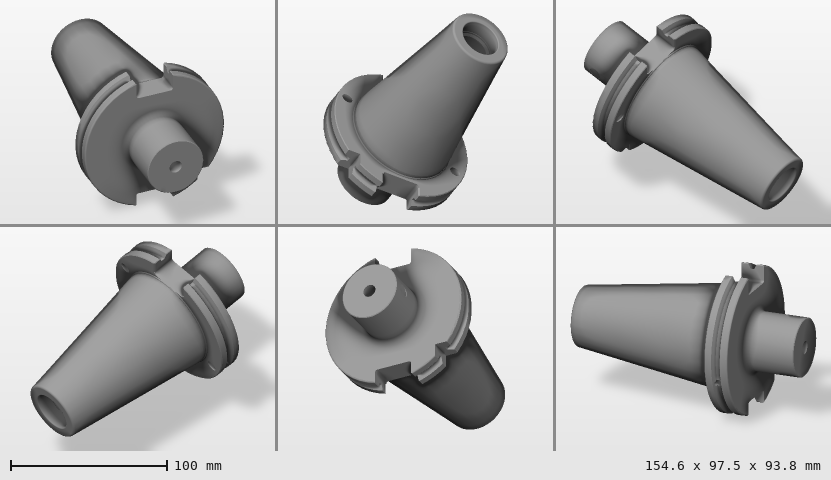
import cadquery as cq
import math


gauge_radius = 69.85 / 2
taper_ratio = 7 / 48
shank_length = 101.75
shank_end_radius = gauge_radius - shank_length * taper_ratio
shank_end_round = 1.5

flange_radius = 97.5 / 2
flange_back = 3.2
flange_front = 19.1
flange_root_round = 0.8
back_rim_chamfer = 0.5
front_rim_round = 1.0
groove_middle = 11.05
groove_floor_radius = 45.4
groove_floor_width = 2.4
groove_mouth_width = 6.0

overall_length = 154.6
nose_end = overall_length - shank_length
nose_radius = 19.5
nose_root_round = 3.5
nose_end_chamfer = 0.5

bore_radius = 12.95
bore_mouth_round = 0.7
bore_depth = 10.3
relief_radius = 12.5
relief_depth = 11.4
thread_lead_in_half_angle = 60
thread_radius = 10.75
thread_depth = 45.0
drill_half_angle = 59
coolant_radius = 4.3

slot_width = 25.7
upper_slot_floor = 35.3
lower_slot_floor = 37.7
slot_corner_round = 1.6
slot_edge_chamfer = 0.6
slot_back_chamfer = 0.8

notch_inner_edge = 30.0

inlet_angle = 20
inlet_pitch_radius = 42.0
inlet_diameter = 6.0
inlet_tilt = 35
inlet_length = 9.0
cross_hole_diameter = 4.8
cross_hole_inner_radius = 35.0

screw_radius = 4.4
screw_from_nose_end = 10.0
screw_hole_floor = 9.0
screw_top = 19.0


def revolve_about_x(profile):
    return profile.close().revolve(360, (0, 0, 0), (1, 0, 0))


def outer_body():
    floor_half = groove_floor_width / 2
    mouth_half = groove_mouth_width / 2
    shank = revolve_about_x(
        cq.Workplane("XY")
        .moveTo(-shank_length, 0)
        .lineTo(-shank_length, shank_end_radius)
        .lineTo(0, gauge_radius)
        .lineTo(flange_back, gauge_radius)
        .lineTo(flange_back, 0)
    )
    shank = shank.faces("<X").edges().fillet(shank_end_round)
    flange_and_nose = revolve_about_x(
        cq.Workplane("XY")
        .moveTo(flange_back - flange_root_round, 0)
        .lineTo(flange_back - flange_root_round, gauge_radius)
        .radiusArc((flange_back, gauge_radius + flange_root_round), flange_root_round)
        .lineTo(flange_back, flange_radius - back_rim_chamfer)
        .lineTo(flange_back + back_rim_chamfer, flange_radius)
        .lineTo(groove_middle - mouth_half, flange_radius)
        .lineTo(groove_middle - floor_half, groove_floor_radius)
        .lineTo(groove_middle + floor_half, groove_floor_radius)
        .lineTo(groove_middle + mouth_half, flange_radius)
        .lineTo(flange_front - front_rim_round, flange_radius)
        .radiusArc((flange_front, flange_radius - front_rim_round), front_rim_round)
        .lineTo(flange_front, nose_radius + nose_root_round)
        .radiusArc((flange_front + nose_root_round, nose_radius), -nose_root_round)
        .lineTo(nose_end - nose_end_chamfer, nose_radius)
        .lineTo(nose_end, nose_radius - nose_end_chamfer)
        .lineTo(nose_end, 0)
    )
    return shank.union(flange_and_nose)


def axial_bore():
    thread_end = thread_depth - shank_length
    bore_end = bore_depth - shank_length
    relief_end = relief_depth - shank_length
    lead_in_depth = (relief_radius - thread_radius) / math.tan(math.radians(thread_lead_in_half_angle))
    drill_tip = thread_end + (thread_radius - coolant_radius) / math.tan(math.radians(drill_half_angle))
    return revolve_about_x(
        cq.Workplane("XY")
        .moveTo(-shank_length, 0)
        .lineTo(-shank_length, bore_radius + bore_mouth_round)
        .radiusArc((bore_mouth_round - shank_length, bore_radius), -bore_mouth_round)
        .lineTo(bore_end, bore_radius)
        .lineTo(bore_end, relief_radius)
        .lineTo(relief_end, relief_radius)
        .lineTo(relief_end + lead_in_depth, thread_radius)
        .lineTo(thread_end, thread_radius)
        .lineTo(drill_tip, coolant_radius)
        .lineTo(nose_end, coolant_radius)
        .lineTo(nose_end, 0)
    )


def drive_slot(floor):
    """Slot open towards +Z, with flared edges at the rim and at the back of the flange."""
    half = slot_width / 2
    top = flange_radius + 1
    rim = math.sqrt(flange_radius**2 - half**2)
    thickness = flange_front - flange_back
    channel = (
        cq.Workplane("YZ", origin=(flange_back, 0, 0))
        .rect(slot_width, 2 * (top - floor))
        .extrude(thickness)
        .edges("|X")
        .edges("<Z")
        .fillet(slot_corner_round)
        .translate((0, 0, top))
    )
    rim_flare = (
        cq.Workplane("YZ", origin=(flange_back, 0, 0))
        .polyline(
            [
                (-half, rim - slot_edge_chamfer),
                (half, rim - slot_edge_chamfer),
                (half + slot_edge_chamfer, rim),
                (half + slot_edge_chamfer, top),
                (-half - slot_edge_chamfer, top),
                (-half - slot_edge_chamfer, rim),
            ]
        )
        .close()
        .extrude(thickness)
    )
    back_flare = (
        cq.Workplane("XY", origin=(0, 0, floor + slot_corner_round))
        .polyline(
            [
                (flange_back, -half - slot_back_chamfer),
                (flange_back, half + slot_back_chamfer),
                (flange_back + slot_back_chamfer, half),
                (flange_back + slot_back_chamfer, -half),
            ]
        )
        .close()
        .extrude(top - floor)
    )
    return channel.union(rim_flare).union(back_flare)


def orientation_notch():
    size = flange_radius - notch_inner_edge
    return cq.Workplane("XY").box(
        flange_front - flange_back, size, size, centered=False
    ).translate((flange_back, notch_inner_edge, -flange_radius))


def coolant_inlet():
    """Inlet on the +Y side of the flange, leaning towards the axis."""
    tilt = math.radians(inlet_tilt)
    lean = cq.Vector(math.cos(tilt), -math.sin(tilt), 0)
    mouth = cq.Vector(flange_back, inlet_pitch_radius, 0)
    inlet = cq.Solid.makeCylinder(
        inlet_diameter / 2, 2 * inlet_length, mouth - lean * inlet_length, lean
    )
    behind_flange = cq.Workplane("XY").box(
        2 * inlet_length, 2 * flange_radius, 2 * inlet_diameter
    ).translate((flange_back - inlet_length, inlet_pitch_radius, 0))
    return cq.Workplane(inlet).cut(behind_flange)


def cross_hole():
    """Radial hole on the -Y side, running from the groove into the coolant inlet."""
    return (
        cq.Workplane("XZ", origin=(groove_middle, -cross_hole_inner_radius, 0))
        .circle(cross_hole_diameter / 2)
        .extrude(flange_radius - cross_hole_inner_radius)
        .rotate((0, 0, 0), (1, 0, 0), inlet_angle)
    )


def screw_cylinder(top):
    """Cylinder on the axis of the clamping screw, from the floor of its hole out to top."""
    return (
        cq.Workplane("XZ", origin=(nose_end - screw_from_nose_end, screw_hole_floor, 0))
        .circle(screw_radius)
        .extrude(screw_hole_floor - top)
    )


def holder_body():
    holder = outer_body().cut(axial_bore())
    holder = holder.cut(drive_slot(upper_slot_floor))
    holder = holder.cut(drive_slot(lower_slot_floor).rotate((0, 0, 0), (1, 0, 0), 180))
    holder = holder.cut(orientation_notch())
    for side in (0, 180):
        holder = holder.cut(coolant_inlet().rotate((0, 0, 0), (1, 0, 0), inlet_angle + side))
    holder = holder.cut(cross_hole())
    return holder.cut(screw_cylinder(nose_radius))


def clamping_screw():
    return screw_cylinder(screw_top)


holder = holder_body()
screw = clamping_screw()

result = cq.Compound.makeCompound([holder.val(), screw.val()])